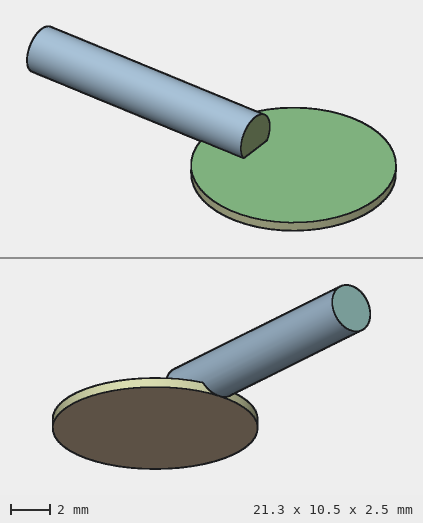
import cadquery as cq

total_length = 21.25
disc_diameter = 10.5
disc_thickness = 0.5
rod_diameter = 2.5
rod_length = 13.58

disc_radius = disc_diameter / 2
rod_radius = rod_diameter / 2
rod_start_x = disc_radius - total_length
half_turn = 180


def make_disc():
    """Flat round head, its seam turned to the -X side so that it lies inside the rod."""
    disc = cq.Workplane("XY").circle(disc_radius).extrude(disc_thickness)
    return disc.rotate((0, 0, 0), (0, 0, 1), half_turn)


def make_rod():
    """Round handle along X, its lowest line level with the underside of the disc."""
    return cq.Workplane("YZ", origin=(rod_start_x, 0, rod_radius)).circle(rod_radius).extrude(rod_length)


def make_paddle():
    """Disc and rod as one solid, the rod end running into the disc."""
    return make_disc().union(make_rod())


paddle = make_paddle().solids()

result = cq.Compound.makeCompound([paddle.val()])